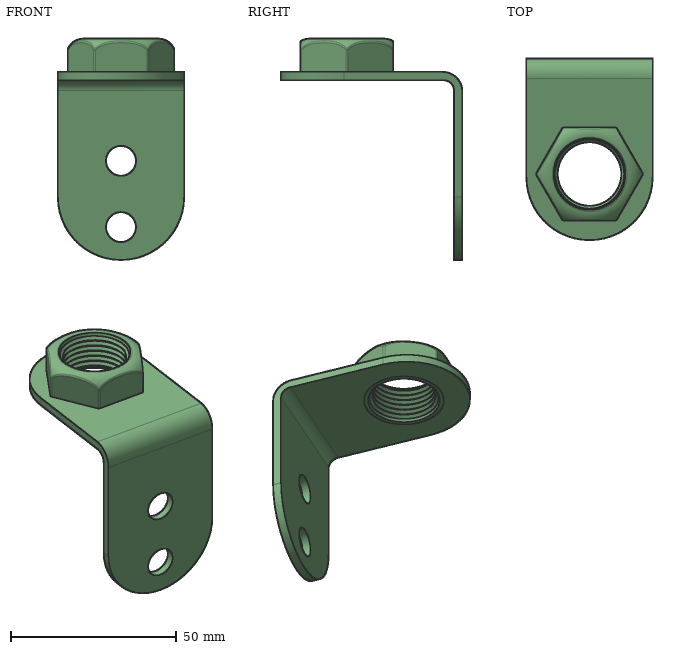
import cadquery as cq
import math

total_height = 67.0
strap_width = 38.25
strap_length = 55.0
strap_thickness = 2.6
bend_outer_radius = 6.0
bend_inner_radius = 3.0
end_radius = strap_width / 2
mount_hole_diameter = 9.0
mount_hole_heights = (10.0, 30.0)

nut_height = 10.05
nut_across_flats = 28.15
nut_corner_rounding = 0.7
dome_edge_rounding = 0.7
nut_from_front = 20.0
collar_radius = 12.05
rim_outer_radius = 11.25
dome_drop = 3.55

bore_mouth_radius = 10.85
thread_root_radius = 10.45
thread_crest_radius = 9.6
thread_ring_count = 6
thread_pitch = 1.8

shelf_top = total_height - nut_height
shelf_bottom = shelf_top - strap_thickness
nut_y = nut_from_front - strap_length
thread_length = total_height - shelf_bottom
lead_in_length = (thread_length - thread_ring_count * thread_pitch) / 2


def make_bracket():
    strap_section = (
        cq.Workplane("YZ")
        .lineTo(0, shelf_top)
        .lineTo(-strap_length, shelf_top)
        .lineTo(-strap_length, shelf_bottom)
        .lineTo(-strap_thickness, shelf_bottom)
        .lineTo(-strap_thickness, 0)
        .close()
    )
    strap = strap_section.extrude(strap_width / 2, both=True)
    outer_corner = cq.selectors.NearestToPointSelector((0, 0, shelf_top))
    strap = strap.edges("|X").edges(outer_corner).fillet(bend_outer_radius)
    inner_corner = cq.selectors.NearestToPointSelector((0, -strap_thickness, shelf_bottom))
    strap = strap.edges("|X").edges(inner_corner).fillet(bend_inner_radius)

    leg_outline = (
        cq.Workplane("XZ")
        .moveTo(-end_radius, total_height)
        .lineTo(-end_radius, end_radius)
        .threePointArc((0, 0), (end_radius, end_radius))
        .lineTo(end_radius, total_height)
        .close()
        .extrude(strap_length)
    )
    shelf_outline = (
        cq.Workplane("XY")
        .moveTo(-end_radius, 0)
        .lineTo(-end_radius, end_radius - strap_length)
        .threePointArc((0, -strap_length), (end_radius, end_radius - strap_length))
        .lineTo(end_radius, 0)
        .close()
        .extrude(total_height)
    )
    mount_holes = (
        cq.Workplane("XZ")
        .pushPoints([(0, height) for height in mount_hole_heights])
        .circle(mount_hole_diameter / 2)
        .extrude(strap_thickness)
    )
    collar_hole = (
        cq.Workplane("XY", origin=(0, nut_y, shelf_bottom))
        .circle(collar_radius)
        .extrude(strap_thickness)
    )
    return strap.intersect(leg_outline).intersect(shelf_outline).cut(mount_holes).cut(collar_hole)


def make_domed_hexagon():
    corner_radius = nut_across_flats / math.sqrt(3)
    hexagon = (
        cq.Workplane("XY")
        .polygon(6, 2 * corner_radius)
        .extrude(nut_height)
        .edges("|Z")
        .fillet(nut_corner_rounding)
    )
    dome_reach = corner_radius - rim_outer_radius
    dome_radius = (dome_reach**2 + dome_drop**2) / (2 * dome_drop)
    dome_angle = math.asin(dome_reach / dome_radius) / 2
    dome = (
        cq.Workplane("XZ")
        .lineTo(0, nut_height)
        .lineTo(rim_outer_radius, nut_height)
        .threePointArc(
            (
                rim_outer_radius + dome_radius * math.sin(dome_angle),
                nut_height - dome_radius * (1 - math.cos(dome_angle)),
            ),
            (corner_radius, nut_height - dome_drop),
        )
        .lineTo(corner_radius, 0)
        .close()
        .revolve()
    )
    domed = hexagon.intersect(dome)
    arched_edges = domed.faces("%TORUS").edges("not %CIRCLE")
    return domed.newObject(arched_edges.vals()).fillet(dome_edge_rounding)


def make_threaded_bore():
    profile = [
        (0, 0),
        (bore_mouth_radius, 0),
        (thread_root_radius, lead_in_length),
    ]
    for ring in range(thread_ring_count):
        ring_start = lead_in_length + ring * thread_pitch
        profile.append((thread_crest_radius, ring_start + thread_pitch / 2))
        profile.append((thread_root_radius, ring_start + thread_pitch))
    profile.append((bore_mouth_radius, thread_length))
    profile.append((0, thread_length))
    return cq.Workplane("XZ").polyline(profile).close().revolve()


def make_nut():
    collar = cq.Workplane("XY").circle(collar_radius).extrude(strap_thickness)
    head = make_domed_hexagon().translate((0, 0, strap_thickness))
    nut = collar.union(head).cut(make_threaded_bore())
    return nut.translate((0, nut_y, shelf_bottom))


bracket = make_bracket()
nut = make_nut()
result = cq.Compound.makeCompound([bracket.solids().val(), nut.solids().val()])